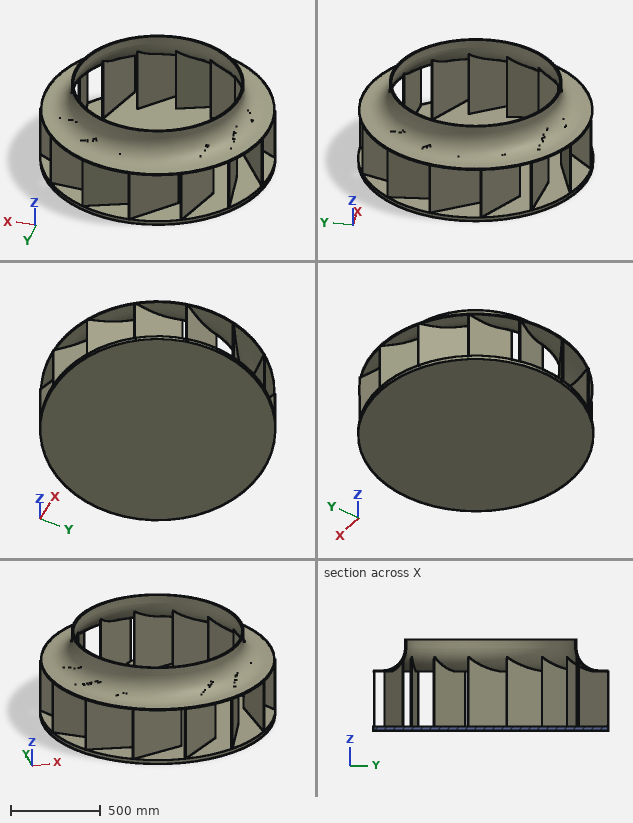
import cadquery as cq
import math

base_diameter = 1310.0
shroud_diameter = 1300.0
total_height = 508.0
base_thickness = 25.0

wall = 8.0
neck_diameter = 956.0
neck_height = 51.0
flare_radius = 120.0

blade_count = 14
blade_tip_radius = 652.0
blade_length = 320.0
blade_thickness = 8.0
blade_angle = 45.0
first_tip_angle = -90.0

base_radius = base_diameter / 2
shroud_radius = shroud_diameter / 2
neck_radius = neck_diameter / 2
flare_top = total_height - neck_height
rim_top = flare_top - flare_radius
rim_bottom = rim_top - wall
flare_center_radius = neck_radius + flare_radius


def flare_point(arc_radius):
    """Middle of a flare arc, given in (radius, height)."""
    offset = arc_radius * math.sqrt(0.5)
    return (flare_center_radius - offset, flare_top - offset)


def make_shroud():
    """Rim, flare and neck revolved about Z."""
    profile = (
        cq.Workplane("XZ")
        .moveTo(shroud_radius, rim_bottom)
        .lineTo(shroud_radius, rim_top)
        .lineTo(flare_center_radius, rim_top)
        .threePointArc(flare_point(flare_radius), (neck_radius, flare_top))
        .lineTo(neck_radius, total_height)
        .lineTo(neck_radius - wall, total_height)
        .lineTo(neck_radius - wall, flare_top)
        .threePointArc(flare_point(flare_radius + wall), (flare_center_radius, rim_bottom))
        .close()
    )
    return profile.revolve(360, (0, 0, 0), (0, 1, 0))


def make_blade(tip_angle):
    """One flat blade, from the base up past the shroud, reaching inward from its tip."""
    return (
        cq.Workplane("XY")
        .box(blade_length, blade_thickness, flare_top - base_thickness, centered=(False, True, False))
        .rotate((0, 0, 0), (0, 0, 1), 180 - blade_angle)
        .translate((blade_tip_radius, 0, base_thickness))
        .rotate((0, 0, 0), (0, 0, 1), tip_angle)
    )


def make_flow_passage():
    """Space between base and shroud, closed above by the underside of the shroud."""
    profile = (
        cq.Workplane("XZ")
        .moveTo(0, base_thickness)
        .lineTo(base_radius, base_thickness)
        .lineTo(base_radius, rim_bottom)
        .lineTo(flare_center_radius, rim_bottom)
        .threePointArc(flare_point(flare_radius + wall), (neck_radius - wall, flare_top))
        .lineTo(0, flare_top)
        .close()
    )
    return profile.revolve(360, (0, 0, 0), (0, 1, 0))


def make_base():
    """Round back plate."""
    return cq.Workplane("XY").circle(base_radius).extrude(base_thickness)


passage = make_flow_passage()
result = make_base().union(make_shroud())
for index in range(blade_count):
    tip_angle = first_tip_angle + index * 360 / blade_count
    result = result.union(make_blade(tip_angle).intersect(passage))